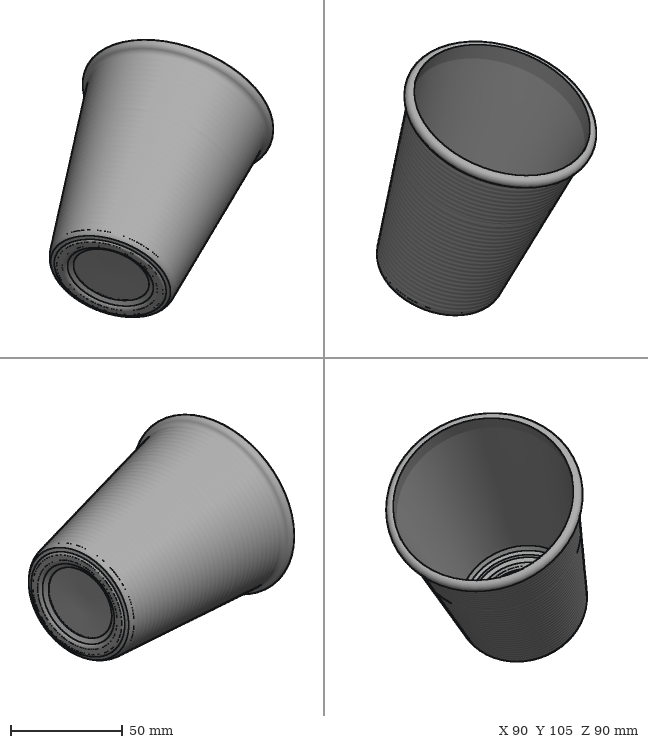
import cadquery as cq
import math


BASE_Y = -52.5
MOUTH_Y = 52.5
WALL = 0.58

RIB_COUNT = 33
FIRST_LAND_RADIUS = 30.0
FIRST_LAND_Y = -46.2
LAST_LAND_Y = 43.6
LAND_STEP = 0.36
LAND_HEIGHT = 0.2
RAMP_ANGLE = math.radians(13)
BEND_PIECES = 3
PITCH = (LAST_LAND_Y - FIRST_LAND_Y) / RIB_COUNT
LAST_LAND_RADIUS = FIRST_LAND_RADIUS + RIB_COUNT * LAND_STEP

BEND_DROP = 1 - math.cos(RAMP_ANGLE)
CONE_LENGTH = LAND_STEP * math.sin(RAMP_ANGLE) / BEND_DROP - (PITCH - LAND_HEIGHT)
BEND_RADIUS = (LAND_STEP - CONE_LENGTH * math.sin(RAMP_ANGLE)) / (2 * BEND_DROP)
BEND_INSET = BEND_RADIUS * BEND_DROP
BEND_RISE = BEND_RADIUS * math.sin(RAMP_ANGLE)

BAND_RIB = 23
BAND_BOTTOM = (38.3, 16.2)
BAND_TOP = (38.4, 18.2)
BAND_BEND_RADIUS = 7.4
BAND_BEND_PIECES = 5

RIM_OUTER_RADIUS = 90.0 / 2
RIM_ROLL_RADIUS = 2.9
RIM_ROLL_PIECES = 14
RIM_NECK_RADIUS = 3.3
RIM_NECK_PIECES = 7

HEEL_TOP = (29.7, -48.3)
HEEL_BOTTOM = (56.6 / 2, -51.0)
HEEL_BEND_RADIUS = 5.2
HEEL_PIECES = 7
LEDGE_INNER = (26.5, -51.6)
FOOT_OUTER_RADIUS = 25.1
FOOT_INNER_RADIUS = 22.5
FOOT_OUTER_BEND_RADIUS = 1.6
FOOT_INNER_BEND_RADIUS = 3.2
FOOT_PIECES = 3
RECESS_SIDE = (20.3, -51.2)
FLOOR_EDGE = (17.8, -50.0)
FLOOR_CENTRE_Y = -49.1


def arc(sketch, start, end, radius, pieces):
    """Continue the sketch along an arc cut into equal pieces; a positive radius turns left."""
    dx, dy = end[0] - start[0], end[1] - start[1]
    chord = math.hypot(dx, dy)
    rise = math.copysign(math.sqrt(radius**2 - chord**2 / 4), radius)
    centre_x = (start[0] + end[0]) / 2 - dy / chord * rise
    centre_y = (start[1] + end[1]) / 2 + dx / chord * rise
    sweep = math.copysign(2 * math.asin(chord / 2 / abs(radius)), radius)
    first = math.atan2(start[1] - centre_y, start[0] - centre_x)

    def point(share):
        angle = first + sweep * share
        return (centre_x + abs(radius) * math.cos(angle), centre_y + abs(radius) * math.sin(angle))

    for i in range(pieces):
        sketch = sketch.threePointArc(point((i + 0.5) / pieces), point((i + 1) / pieces))
    return sketch


def land(index):
    """Lower and upper end of one land."""
    radius = FIRST_LAND_RADIUS + index * LAND_STEP
    y = FIRST_LAND_Y + index * PITCH
    return (radius, y - LAND_HEIGHT / 2), (radius, y + LAND_HEIGHT / 2)


def bend_into_land(sketch, end):
    """Continue by a straight cone and a convex bend up to the foot of a land."""
    cone_end = (end[0] - BEND_INSET, end[1] - BEND_RISE)
    sketch = sketch.lineTo(*cone_end)
    return arc(sketch, cone_end, end, BEND_RADIUS, BEND_PIECES)


def ramp(sketch, start, end):
    """Widen smoothly from the top of one land to the foot of the next."""
    cone_start = (start[0] + BEND_INSET, start[1] + BEND_RISE)
    sketch = arc(sketch, start, cone_start, -BEND_RADIUS, BEND_PIECES)
    return bend_into_land(sketch, end)


def foot(sketch):
    """From the floor centre over the foot ring and the heel to the first land."""
    foot_inner = (FOOT_INNER_RADIUS, BASE_Y)
    foot_outer = (FOOT_OUTER_RADIUS, BASE_Y)
    sketch = sketch.lineTo(*FLOOR_EDGE).lineTo(*RECESS_SIDE)
    sketch = arc(sketch, RECESS_SIDE, foot_inner, FOOT_INNER_BEND_RADIUS, FOOT_PIECES)
    sketch = sketch.lineTo(*foot_outer)
    sketch = arc(sketch, foot_outer, LEDGE_INNER, FOOT_OUTER_BEND_RADIUS, FOOT_PIECES)
    sketch = sketch.lineTo(*HEEL_BOTTOM)
    sketch = arc(sketch, HEEL_BOTTOM, HEEL_TOP, HEEL_BEND_RADIUS, HEEL_PIECES)
    return bend_into_land(sketch, land(0)[0])


def ribbed_wall(sketch):
    """All lands and ramps from the first land to the last, with the smooth band between."""
    for index in range(RIB_COUNT + 1):
        if index == BAND_RIB:
            band_foot = land(index - 1)[1]
            sketch = arc(sketch, band_foot, BAND_BOTTOM, -BAND_BEND_RADIUS, BAND_BEND_PIECES)
            sketch = sketch.lineTo(*BAND_TOP)
            continue
        lower, upper = land(index)
        if index == BAND_RIB + 1:
            sketch = sketch.lineTo(*lower)
        elif index > 0:
            sketch = ramp(sketch, land(index - 1)[1], lower)
        sketch = sketch.lineTo(*upper)
    return sketch


def rim(sketch):
    """Concave neck and rolled edge, tangent to each other."""
    roll_x = RIM_OUTER_RADIUS - RIM_ROLL_RADIUS
    roll_y = MOUTH_Y - RIM_ROLL_RADIUS
    neck_x = LAST_LAND_RADIUS + RIM_NECK_RADIUS
    reach = RIM_ROLL_RADIUS + RIM_NECK_RADIUS
    neck_y = roll_y - math.sqrt(reach**2 - (neck_x - roll_x) ** 2)
    share = RIM_NECK_RADIUS / reach
    meeting = (neck_x + (roll_x - neck_x) * share, neck_y + (roll_y - neck_y) * share)
    neck_start = (LAST_LAND_RADIUS, neck_y)
    sketch = sketch.lineTo(*neck_start)
    sketch = arc(sketch, neck_start, meeting, -RIM_NECK_RADIUS, RIM_NECK_PIECES)
    return arc(sketch, meeting, (roll_x, MOUTH_Y), RIM_ROLL_RADIUS, RIM_ROLL_PIECES)


def inside(sketch):
    """Plain inner surface from the mouth down to the floor centre, one wall inside the outer one."""
    mouth_radius = LAST_LAND_RADIUS - WALL
    points = [
        (mouth_radius, MOUTH_Y),
        (mouth_radius, LAST_LAND_Y),
        (FIRST_LAND_RADIUS - WALL, FIRST_LAND_Y),
        (HEEL_TOP[0] - WALL, HEEL_TOP[1]),
        (HEEL_BOTTOM[0] - WALL, HEEL_BOTTOM[1] + WALL),
        (LEDGE_INNER[0] - WALL, LEDGE_INNER[1] + WALL),
        (FOOT_OUTER_RADIUS, BASE_Y + WALL),
        (FOOT_INNER_RADIUS, BASE_Y + WALL),
        (RECESS_SIDE[0], RECESS_SIDE[1] + WALL),
        (FLOOR_EDGE[0], FLOOR_EDGE[1] + WALL),
        (0, FLOOR_CENTRE_Y + WALL),
    ]
    for point in points:
        sketch = sketch.lineTo(*point)
    return sketch


profile = cq.Workplane("XY").moveTo(0, FLOOR_CENTRE_Y)
profile = foot(profile)
profile = ribbed_wall(profile)
profile = rim(profile)
profile = inside(profile).close()

result = profile.revolve(360, (0, 0, 0), (0, 1, 0), clean=False)